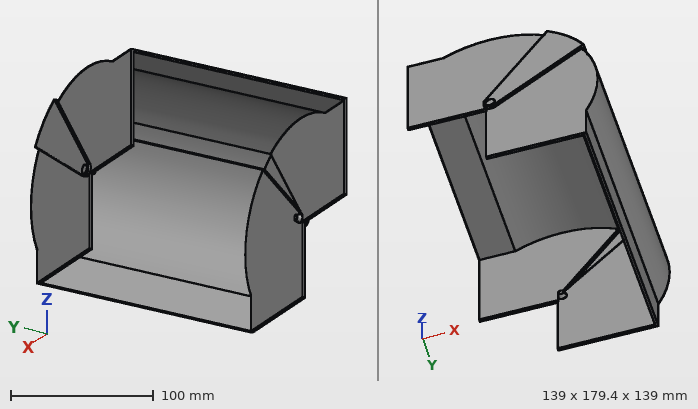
import cadquery as cq
import math


wall = 2.0
clearance = 0.2
inner_width = 171.0
elbow_radius = 78.0
straight_start = 35.0
straight_end = 61.0
inner_edge = 3.5
ear_radius = 3.0
duct_cut_angle = 45.0
bell_mid_angle = 45.0
bell_half_angle = 10.0
head_radius = 3.35
shaft_radius = 2.1
tail_radius = 3.2
tail_length = 3.5

duct_width = inner_width + 2 * wall
bell_cavity_width = duct_width + 2 * clearance
bell_width = bell_cavity_width + 2 * wall
inner_radius = elbow_radius - wall
bell_cavity_radius = elbow_radius + clearance
bell_radius = bell_cavity_radius + wall
back_height = math.sqrt(elbow_radius**2 - straight_start**2)
inner_back_height = back_height - wall
inner_straight_start = math.sqrt(inner_radius**2 - inner_back_height**2)
seat_radius = ear_radius + clearance
ear_shoulder = inner_edge + clearance
bell_tip_radius = ear_radius + wall
bell_start_angle = bell_mid_angle + bell_half_angle
bell_end_angle = bell_mid_angle - bell_half_angle
open_side = -2 * bell_tip_radius


def polar(radius, angle):
    """Point in the XZ plane at an angle in degrees from +X towards +Z."""
    turn = math.radians(angle)
    return (radius * math.cos(turn), radius * math.sin(turn))


def edge_angle(radius, direction, offset):
    """Polar angle where a line offset to the left of the hinge reaches a radius."""
    return direction + math.degrees(math.asin(offset / radius))


def extrude_across(outline, width):
    """Close an XZ outline and extrude it evenly to both sides of Y = 0."""
    return outline.close().extrude(width / 2, both=True)


def arc_about_hinge(outline, radius, start, end):
    return outline.threePointArc(polar(radius, (start + end) / 2), polar(radius, end))


def swap_axes(body):
    """Reflect a body in the plane X = Z, turning a left duct into a lower one."""
    turned = body.mirror("YZ")
    return turned.rotate((0, 0, 0), (0, 1, 0), 90)


def channel_interior():
    """Hollow of the left duct: flat roof, then round back, open downwards."""
    roof_angle = 180 - math.degrees(math.asin(inner_back_height / inner_radius))
    outline = (
        cq.Workplane("XZ")
        .moveTo(-straight_end, open_side)
        .lineTo(-straight_end, inner_back_height)
        .lineTo(-inner_straight_start, inner_back_height)
    )
    outline = arc_about_hinge(outline, inner_radius, roof_angle, 0)
    return extrude_across(outline.lineTo(inner_radius, open_side), inner_width)


def bell_duct_blank():
    """Solid left duct, ending at the seat around the plain duct's ear."""
    roof_angle = 180 - math.degrees(math.asin(back_height / elbow_radius))
    end_angle = edge_angle(elbow_radius, bell_start_angle, seat_radius)
    outline = (
        cq.Workplane("XZ")
        .moveTo(-straight_end, -inner_edge)
        .lineTo(-straight_end, back_height)
        .lineTo(-straight_start, back_height)
    )
    outline = arc_about_hinge(outline, elbow_radius, roof_angle, end_angle)
    outline = outline.lineTo(*polar(seat_radius, bell_start_angle + 90))
    outline = arc_about_hinge(outline, seat_radius, bell_start_angle + 90, 180)
    return extrude_across(outline.lineTo(-seat_radius, -inner_edge), duct_width)


def bell_blank():
    """Solid wedge of the bell, its two edges tangent to the round tip."""
    start_angle = edge_angle(bell_radius, bell_start_angle, bell_tip_radius)
    end_angle = edge_angle(bell_radius, bell_end_angle, -bell_tip_radius)
    outline = cq.Workplane("XZ").moveTo(*polar(bell_radius, end_angle))
    outline = arc_about_hinge(outline, bell_radius, end_angle, start_angle)
    outline = outline.lineTo(*polar(bell_tip_radius, bell_start_angle + 90))
    outline = arc_about_hinge(outline, bell_tip_radius, bell_start_angle + 90, bell_end_angle + 270)
    return extrude_across(outline, bell_width)


def bell_cavity():
    """Room inside the bell for the plain duct, from the seat onwards."""
    start_angle = edge_angle(bell_cavity_radius, bell_start_angle, seat_radius)
    outline = cq.Workplane("XZ").moveTo(bell_cavity_radius, 0)
    outline = arc_about_hinge(outline, bell_cavity_radius, 0, start_angle)
    outline = outline.lineTo(*polar(seat_radius, bell_start_angle + 90))
    outline = arc_about_hinge(outline, seat_radius, bell_start_angle + 90, 180)
    outline = outline.lineTo(-seat_radius, -inner_edge).lineTo(open_side, -inner_edge)
    outline = outline.lineTo(open_side, open_side).lineTo(bell_cavity_radius, open_side)
    return extrude_across(outline, bell_cavity_width)


def plain_duct_blank():
    """Solid lower duct with the hinge ear at its inner corner."""
    back_angle = -math.degrees(math.asin(straight_start / elbow_radius))
    end_angle = edge_angle(elbow_radius, duct_cut_angle, ear_radius)
    outline = (
        cq.Workplane("XZ")
        .moveTo(-inner_edge, -straight_end)
        .lineTo(back_height, -straight_end)
        .lineTo(back_height, -straight_start)
    )
    outline = arc_about_hinge(outline, elbow_radius, back_angle, end_angle)
    outline = outline.lineTo(*polar(ear_radius, duct_cut_angle + 90))
    outline = arc_about_hinge(outline, ear_radius, duct_cut_angle + 90, 180)
    outline = outline.lineTo(-ear_radius, -ear_shoulder).lineTo(-inner_edge, -ear_shoulder)
    return extrude_across(outline, duct_width)


def hinge_bore(radius):
    return cq.Workplane("XZ").circle(radius).extrude(bell_width / 2, both=True)


def hinge_pin(side):
    """Pin on one side wall: head in the bell, shaft in the ear, tapered tail inside."""
    inner_face = inner_width / 2

    def disc(radius, start, end):
        plane = cq.Workplane("XZ", origin=(0, side * start, 0))
        return plane.circle(radius).extrude(-side * (end - start))

    head = disc(head_radius, bell_cavity_width / 2, bell_width / 2)
    shaft = disc(shaft_radius, inner_face, bell_cavity_width / 2)
    tail = (
        cq.Workplane("XZ", origin=(0, side * inner_face, 0))
        .circle(tail_radius)
        .workplane(offset=side * tail_length)
        .circle(shaft_radius)
        .loft()
    )
    return head.union(shaft).union(tail)


bell_duct = (
    bell_duct_blank()
    .union(bell_blank())
    .cut(channel_interior())
    .cut(bell_cavity())
    .cut(hinge_bore(head_radius))
)
plain_duct = plain_duct_blank().cut(swap_axes(channel_interior())).cut(hinge_bore(shaft_radius))
hinge_pins = [hinge_pin(side) for side in (-1, 1)]

result = cq.Compound.makeCompound(
    [bell_duct.val(), plain_duct.val(), *[pin.val() for pin in hinge_pins]]
)